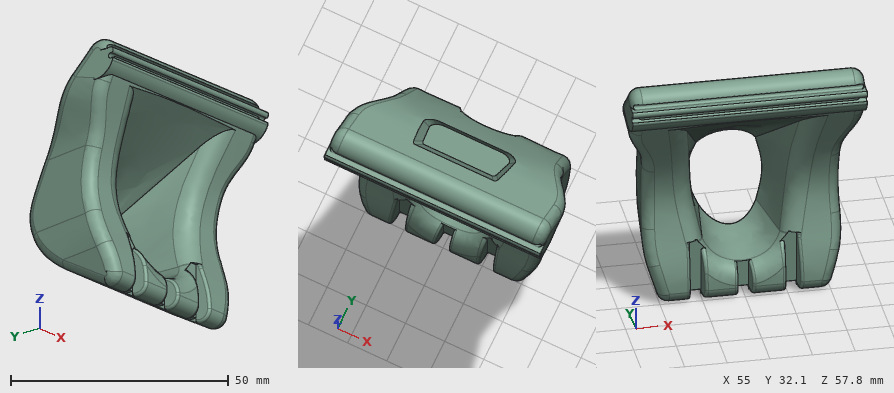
import cadquery as cq
import math

HEIGHT = 57.75
DEPTH = 32.1

HEAD_HALF_WIDTH = 27.5
BLANK_HALF_WIDTH = 28.85
WAIST_HALF_WIDTH = 24.7
FOOT_HALF_WIDTH = 19.75
FOOT_TAPER_STEP = 1.15
BACK_INSET = 4.35
HEAD_BOTTOM_FRONT = 46.2
HEAD_BOTTOM_BACK = 56.6
WAIST_TOP = 34.05
WAIST_BOTTOM = 17.3
FOOT_TAPER_TOP = 8.65
TRIM_MARGIN = 2.9
EDGE_RADIUS = 2.6
FLANK_LIMIT = 14.45
LEVEL_TOLERANCE = 0.05

HEAD_RADIUS = 3.85
HEAD_CENTER = (5.0, HEIGHT - HEAD_RADIUS)
HEAD_BACK_ANGLE = 45.0
TIP_RADIUS = 2.9
TIP_CENTER = (8.25, TIP_RADIUS)
TIP_BACK_ANGLE = 299.0
BACK_POINTS = [(19.9, 44.8), (29.85, 29.0), (DEPTH, 22.65), (27.9, 12.1), (21.9, 7.3)]
FRONT_POINTS = [(6.9, 11.0), (10.55, 24.2), (5.7, 41.35), (2.4, 47.9)]

HOLE_HALF_WIDTH = 8.55
HOLE_BOTTOM = 9.95
HOLE_TOP = 28.6
FUNNEL_BACK_Y = 33.5
FUNNEL_TOP = 49.65
FUNNEL_TOP_HALF_WIDTH = 15.6
FUNNEL_MIDDLE_HALF_WIDTH = 13.3
FUNNEL_BOTTOM = 6.9
FUNNEL_SHOULDER = 13.85
FUNNEL_SHOULDER_HALF_WIDTH = 10.7
FUNNEL_CROWN = 0.05
FUNNEL_RIM_RADIUS = 4.6
RIM_LOW_LIMIT = 6.9
RIM_HIGH_LIMIT = 47.35
RIM_BACK_LIMIT = 10.95

SLOT_COUNT = 3
SLOT_PITCH = 11.2
SLOT_FLOOR_WIDTH = 2.8
SLOT_MOUTH_WIDTH = 4.6
SLOT_FLOOR_Y = 9.25
SLOT_TOP = 14.45
SLOT_EDGE_RADIUS = 0.7
SLOT_FOOT_BACK_Y = 13.85
SLOT_FOOT_HEIGHT = 1.25

POCKET_FRONT_Y = 11.55
POCKET_BACK_Y = 22.25
POCKET_FRONT_HALF_WIDTH = 10.95
POCKET_BACK_HALF_WIDTH = 12.25
POCKET_FRONT_Z = 52.85
POCKET_SLOPE = 1.0
POCKET_LIFT = 0.85
POCKET_DROP = 2.3
POCKET_FRONT_INSET = 2.6
POCKET_SIDE_INSET = 1.75
POCKET_CORNER_RADIUS = 1.45


def point_on_circle(center, radius, degrees):
    angle = math.radians(degrees)
    return center[0] + radius * math.cos(angle), center[1] + radius * math.sin(angle)


def make_blank():
    """Crescent side profile between a round head and a round tip, carried across the full width."""
    head_back = point_on_circle(HEAD_CENTER, HEAD_RADIUS, HEAD_BACK_ANGLE)
    head_crest = point_on_circle(HEAD_CENTER, HEAD_RADIUS, 90)
    head_front = point_on_circle(HEAD_CENTER, HEAD_RADIUS, 180)
    tip_back = point_on_circle(TIP_CENTER, TIP_RADIUS, TIP_BACK_ANGLE)
    tip_bottom = point_on_circle(TIP_CENTER, TIP_RADIUS, 225)
    tip_front = point_on_circle(TIP_CENTER, TIP_RADIUS, 180)
    leaving_head = point_on_circle((0, 0), 1, HEAD_BACK_ANGLE - 90)
    reaching_tip = point_on_circle((0, 0), 1, TIP_BACK_ANGLE - 90)
    return (
        cq.Workplane("YZ", origin=(-BLANK_HALF_WIDTH, 0, 0))
        .moveTo(*head_back)
        .spline(BACK_POINTS + [tip_back], tangents=[leaving_head, reaching_tip], includeCurrent=True)
        .threePointArc(tip_bottom, tip_front)
        .spline(FRONT_POINTS + [head_front], tangents=[(0, 1), (0, 1)], includeCurrent=True)
        .threePointArc(head_crest, head_back)
        .close()
        .extrude(2 * BLANK_HALF_WIDTH)
    )


def flank_outline(y, inset, head_bottom):
    """Symmetric outline of the trimming block at depth y, drawn in X and Z."""
    waist = WAIST_HALF_WIDTH - inset
    taper_top = waist - FOOT_TAPER_STEP
    foot = FOOT_HALF_WIDTH - inset
    top = HEIGHT + TRIM_MARGIN
    foot_slope = (taper_top - foot, FOOT_TAPER_TOP + TRIM_MARGIN)
    up = (0.0, 1.0)
    down = (0.0, -1.0)
    return (
        cq.Workplane("XZ", origin=(0, y, 0))
        .moveTo(-HEAD_HALF_WIDTH, top)
        .lineTo(HEAD_HALF_WIDTH, top)
        .lineTo(HEAD_HALF_WIDTH, head_bottom)
        .spline([(waist, WAIST_TOP)], tangents=[down, down], includeCurrent=True)
        .lineTo(waist, WAIST_BOTTOM)
        .spline(
            [(taper_top, FOOT_TAPER_TOP)],
            tangents=[down, (-foot_slope[0], -foot_slope[1])],
            includeCurrent=True,
        )
        .lineTo(foot, -TRIM_MARGIN)
        .lineTo(-foot, -TRIM_MARGIN)
        .lineTo(-taper_top, FOOT_TAPER_TOP)
        .spline(
            [(-waist, WAIST_BOTTOM)],
            tangents=[(-foot_slope[0], foot_slope[1]), up],
            includeCurrent=True,
        )
        .lineTo(-waist, WAIST_TOP)
        .spline([(-HEAD_HALF_WIDTH, head_bottom)], tangents=[up, up], includeCurrent=True)
        .close()
    )


def ruled_solid(front, back):
    """Solid with straight rulings between two matching outlines."""
    return cq.Workplane(cq.Solid.makeLoft([front.val(), back.val()], True))


def is_flank_edge(edge):
    """True where a flank meets the curved skin; rulings and crosswise seams are left out."""
    start = edge.startPoint()
    end = edge.endPoint()
    on_one_flank = min(abs(start.x), abs(end.x)) > FLANK_LIMIT and start.x * end.x > 0
    return on_one_flank and abs(start.z - end.z) > LEVEL_TOLERANCE


def make_plate():
    """Curved plate with a waist, its flanks rounded into the front and back."""
    front = flank_outline(0.0, 0.0, HEAD_BOTTOM_FRONT)
    back = flank_outline(DEPTH + TRIM_MARGIN, BACK_INSET, HEAD_BOTTOM_BACK)
    trim = ruled_solid(front, back)
    plate = make_blank().intersect(trim)
    flank_edges = [edge for edge in plate.edges().vals() if is_flank_edge(edge)]
    return plate.newObject(flank_edges).fillet(EDGE_RADIUS)


def make_bead():
    """Front of the head: an upper and a lower tooth with a round groove between them."""
    return (
        cq.Workplane("YZ", origin=(-HEAD_HALF_WIDTH, 0, 0))
        .moveTo(5.8, 54.3)
        .lineTo(0.45, 54.3)
        .threePointArc((0.0, 53.5), (0.45, 52.8))
        .threePointArc((1.4, 52.15), (0.35, 51.7))
        .threePointArc((0.2, 51.35), (0.25, 50.9))
        .threePointArc((1.85, 48.75), (5.8, 47.45))
        .close()
        .extrude(2 * HEAD_HALF_WIDTH)
    )


def make_bead_groove():
    """Open round-bottomed groove above the upper tooth."""
    return (
        cq.Workplane("YZ", origin=(-HEAD_HALF_WIDTH, 0, 0))
        .moveTo(0, 55.55)
        .lineTo(1.75, 55.55)
        .threePointArc((2.35, 54.9), (1.75, 54.3))
        .lineTo(0, 54.3)
        .close()
        .extrude(2 * HEAD_HALF_WIDTH)
    )


def funnel_outline(y, top, top_half, shoulder, shoulder_half, bottom, crown, middle_half):
    """Four-sided outline at depth y with arched sides, drawn in X and Z."""
    middle = (top + shoulder) / 2
    return (
        cq.Workplane("XZ", origin=(0, y, 0))
        .moveTo(-top_half, top)
        .threePointArc((0, top + crown), (top_half, top))
        .threePointArc((middle_half, middle), (shoulder_half, shoulder))
        .threePointArc((0, bottom), (-shoulder_half, shoulder))
        .threePointArc((-middle_half, middle), (-top_half, top))
        .close()
    )


def make_funnel():
    """Funnel narrowing from a wide mouth at the front to an oval hole through the back."""
    hole_middle = (HOLE_TOP + HOLE_BOTTOM) / 2
    hole_half_height = (HOLE_TOP - HOLE_BOTTOM) / 2
    corner_x = HOLE_HALF_WIDTH * math.sqrt(0.5)
    corner_z = hole_half_height * math.sqrt(0.5)
    mouth = funnel_outline(
        y=0.0,
        top=FUNNEL_TOP,
        top_half=FUNNEL_TOP_HALF_WIDTH,
        shoulder=FUNNEL_SHOULDER,
        shoulder_half=FUNNEL_SHOULDER_HALF_WIDTH,
        bottom=FUNNEL_BOTTOM,
        crown=FUNNEL_CROWN,
        middle_half=FUNNEL_MIDDLE_HALF_WIDTH,
    )
    hole = funnel_outline(
        y=FUNNEL_BACK_Y,
        top=hole_middle + corner_z,
        top_half=corner_x,
        shoulder=hole_middle - corner_z,
        shoulder_half=corner_x,
        bottom=HOLE_BOTTOM,
        crown=hole_half_height - corner_z,
        middle_half=HOLE_HALF_WIDTH,
    )
    return ruled_solid(mouth, hole)


def is_mouth_edge(edge):
    """True on the rim of the funnel mouth, except along its sharp straight top."""
    middle = edge.Center()
    between_tip_and_head = RIM_LOW_LIMIT < middle.z < RIM_HIGH_LIMIT
    return middle.y < RIM_BACK_LIMIT and between_tip_and_head and abs(middle.x) < FUNNEL_TOP_HALF_WIDTH


def cut_funnel(body):
    """Cut the funnel and round its mouth generously."""
    body = body.cut(make_funnel())
    mouth = [edge for edge in body.edges().vals() if is_mouth_edge(edge)]
    return body.newObject(mouth).fillet(FUNNEL_RIM_RADIUS)


def slot_centers():
    span = (SLOT_COUNT - 1) * SLOT_PITCH
    return [index * SLOT_PITCH - span / 2 for index in range(SLOT_COUNT)]


def make_slots():
    """Tapered slots through the lower lip, evenly spaced across it."""
    centers = [(center_x, 0) for center_x in slot_centers()]
    slot = (
        cq.Workplane("XY")
        .moveTo(-SLOT_MOUTH_WIDTH / 2, 0)
        .lineTo(SLOT_MOUTH_WIDTH / 2, 0)
        .lineTo(SLOT_FLOOR_WIDTH / 2, SLOT_FLOOR_Y)
        .lineTo(-SLOT_FLOOR_WIDTH / 2, SLOT_FLOOR_Y)
        .close()
        .extrude(SLOT_TOP)
    )
    return cq.Workplane().pushPoints(centers).eachpoint(slot.val(), combine="a")


def make_slot_feet():
    """Low steps that carry each slot floor back through the underside of the lip."""
    centers = [(center_x, SLOT_FOOT_BACK_Y / 2) for center_x in slot_centers()]
    return (
        cq.Workplane("XY")
        .pushPoints(centers)
        .rect(SLOT_FLOOR_WIDTH, SLOT_FOOT_BACK_Y)
        .extrude(SLOT_FOOT_HEIGHT)
    )


def is_slot_edge(edge, center_x):
    """True on the outer corners of the slot at center_x, away from its floor and ceiling."""
    middle = edge.Center()
    offset = abs(middle.x - center_x)
    on_wall = SLOT_FLOOR_WIDTH / 2 < offset + LEVEL_TOLERANCE and offset < SLOT_MOUTH_WIDTH / 2
    off_floor = middle.y < SLOT_FLOOR_Y - LEVEL_TOLERANCE
    return on_wall and off_floor and middle.z < SLOT_TOP - LEVEL_TOLERANCE


def cut_slots(body):
    """Cut the slots through the lower lip and round their outer corners."""
    body = body.cut(make_slots())
    for center_x in slot_centers():
        corners = [edge for edge in body.edges().vals() if is_slot_edge(edge, center_x)]
        body = body.newObject(corners).fillet(SLOT_EDGE_RADIUS)
    return body.cut(make_slot_feet())


def pocket_outline(lift, front_inset, side_inset):
    """Trapezoid parallel to the sloping back, lifted above it or sunk below it."""
    front_y = POCKET_FRONT_Y + front_inset
    front_half = POCKET_FRONT_HALF_WIDTH - side_inset
    back_half = POCKET_BACK_HALF_WIDTH - side_inset
    front_z = POCKET_FRONT_Z + lift - front_inset * POCKET_SLOPE
    back_z = POCKET_FRONT_Z + lift - (POCKET_BACK_Y - POCKET_FRONT_Y) * POCKET_SLOPE
    corners = [
        (-front_half, front_y, front_z),
        (front_half, front_y, front_z),
        (back_half, POCKET_BACK_Y, back_z),
        (-back_half, POCKET_BACK_Y, back_z),
    ]
    return cq.Workplane(cq.Wire.makePolygon([cq.Vector(*corner) for corner in corners], close=True))


def is_pocket_corner(edge):
    """True where two walls of the pocket meet."""
    start = edge.startPoint()
    end = edge.endPoint()
    joins_mouth_to_floor = abs(start.y - end.y) < POCKET_FRONT_INSET + LEVEL_TOLERANCE
    return joins_mouth_to_floor and abs(start.z - end.z) > LEVEL_TOLERANCE


def make_pocket():
    """Shallow pocket in the back with sloping front and side walls and an upright back wall."""
    mouth = pocket_outline(POCKET_LIFT, 0.0, 0.0)
    floor = pocket_outline(-POCKET_DROP, POCKET_FRONT_INSET, POCKET_SIDE_INSET)
    pocket = ruled_solid(mouth, floor)
    corners = [edge for edge in pocket.edges().vals() if is_pocket_corner(edge)]
    return pocket.newObject(corners).fillet(POCKET_CORNER_RADIUS)


body = cut_funnel(make_plate())
body = cut_slots(body)
body = body.union(make_bead()).cut(make_bead_groove())
result = body.cut(make_pocket())